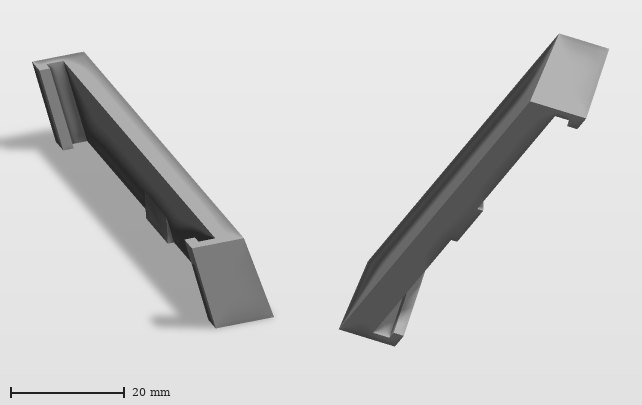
import cadquery as cq
import math

length = 74.5
depth = 15.65
height = 17.0
lean_angle = 15.0

top_depth = 9.9
arm_reach = 5.2
lip_thickness = 2.0

arm_width = 3.5
side_thickness = 1.85

wedge_width = 10.1
wedge_height = 5.45
wedge_base_depth = 1.2

lean = height * math.tan(math.radians(lean_angle))
front_top = -depth / 2
back_bottom = depth / 2
wall_top = front_top + arm_reach
wall_bottom = wall_top + lean


def extrude_across(points, width):
    """Extrude a (Y, Z) outline along X, centred on X = 0."""
    return cq.Workplane("YZ").polyline(points).close().extrude(width / 2, both=True)


def leaning_cut(y_front, y_back, width):
    """Full-height prism parallel to the front faces; y values are at the top."""
    return extrude_across(
        [
            (y_front, height),
            (y_back, height),
            (y_back + lean, 0),
            (y_front + lean, 0),
        ],
        width,
    )


body = extrude_across(
    [
        (front_top, height),
        (front_top + top_depth, height),
        (back_bottom, 0),
        (front_top + lean, 0),
    ],
    length,
)

lip_opening = leaning_cut(front_top, wall_top, length - 2 * arm_width)
channel = leaning_cut(front_top + lip_thickness, wall_top, length - 2 * side_thickness)

wedge_top = wall_bottom - wedge_height * math.tan(math.radians(lean_angle))
wedge = extrude_across(
    [
        (wall_bottom, 0),
        (wedge_top, wedge_height),
        (wall_bottom - wedge_base_depth, 0),
    ],
    wedge_width,
)

result = body.cut(lip_opening).cut(channel).union(wedge)